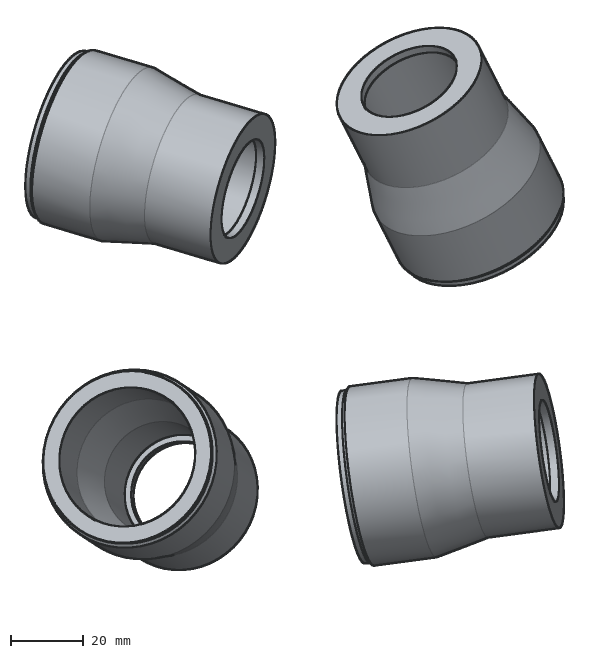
import cadquery as cq


total_length = 55.0
wide_length = 20.0
taper_length = 15.0
end_length = 2.5
bore_shift = end_length

wall = 5.5
wide_radius = 50.0 / 2
narrow_radius = 43.0 / 2
wide_bore_radius = wide_radius - wall
narrow_bore_radius = narrow_radius - wall

rim_step = wall / 6
lip_height = wall / 3
rim_radius = wide_radius - rim_step
lip_radius = narrow_bore_radius - lip_height

rim_end = end_length - rim_step
outer_taper_end = wide_length + taper_length
bore_taper_start = wide_length - bore_shift
bore_taper_end = bore_taper_start + taper_length
lip_start = total_length - end_length


def revolve_about_x(points):
    """Turn a closed (x, radius) outline, drawn on the -Z side, about the X axis."""
    outline = [(x, -radius) for x, radius in points]
    return cq.Workplane("XZ").polyline(outline).close().revolve(360, (0, 0, 0), (1, 0, 0))


outer_outline = [
    (0, rim_radius),
    (rim_end, rim_radius),
    (end_length, wide_radius),
    (wide_length, wide_radius),
    (outer_taper_end, narrow_radius),
    (total_length, narrow_radius),
]

bore_outline = [
    (total_length, lip_radius),
    (lip_start, lip_radius),
    (lip_start, narrow_bore_radius),
    (bore_taper_end, narrow_bore_radius),
    (bore_taper_start, wide_bore_radius),
    (0, wide_bore_radius),
]

result = revolve_about_x(outer_outline + bore_outline)